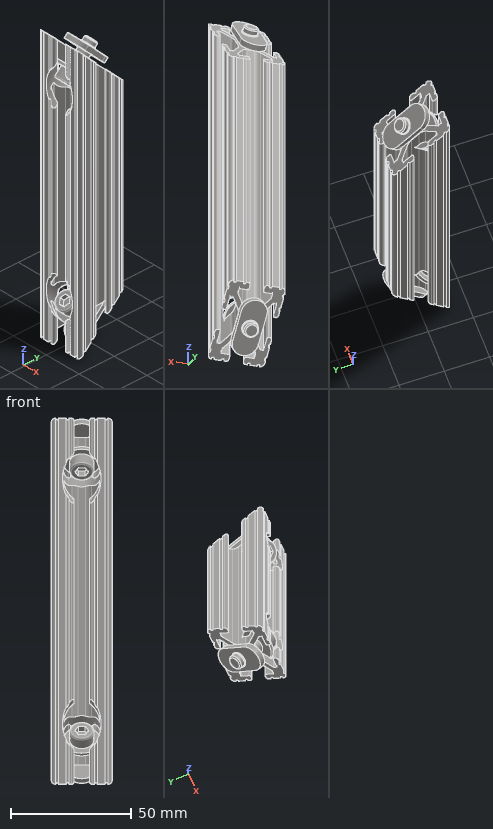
import cadquery as cq
import math

length = 152.4
width = 25.5
half_width = width / 2
corner_radius = 1.8
mouth_half = 3.2
lip_thickness = 2.3
lip_outer_radius = 1.0
lip_inner_radius = 0.6
chamber_half = 7.5
chamber_radius = 0.6
core_half = 4.5
core_fillet = 3.4
web_offset = 1.5
groove_radius = 0.6
groove_places = (5.87, 10.2)

screw_diameter = 6.4
screw_length = 16.0
tip_chamfer = 0.6
head_diameter = 10.0
head_height = 5.6
head_fillet = 0.6
socket_flats = 4.9
socket_depth = 3.0
washer_diameter = 15.5
washer_thickness = 1.5
pocket_diameter = 16.0
pocket_depth = 6.5
plate_length = 25.1
plate_width = 11.5
plate_thickness = 2.7
plate_gap = 2.1
collar_diameter = 7.0
collar_height = 0.5

head_seat = pocket_depth + washer_thickness
clear_of_part = 2 * width

mitre_middle = length / 2 - half_width
fastener_plane = cq.Plane(origin=(0, 0, mitre_middle), xDir=(1, 0, 0), normal=(0, 1, 1))


def at_height(height):
    """Workplane square to the fastener axis; positive heights lie outside the mitred face."""
    return cq.Workplane(fastener_plane).workplane(offset=height)


def rounded_corner(start, corner, end):
    """Middle point of a bulging arc from start to end that rounds off a corner."""
    inset = 1 - math.sqrt(0.5)
    return tuple(c + inset * (s + e - 2 * c) for s, c, e in zip(start, corner, end))


def make_mitred_envelope():
    """Block with both ends mitred at 45 degrees, full length on the -Y side."""
    short_half = length / 2 - width
    return (
        cq.Workplane("YZ")
        .polyline([
            (-half_width, -length / 2),
            (-half_width, length / 2),
            (half_width, short_half),
            (half_width, -short_half),
        ])
        .close()
        .extrude(half_width, both=True)
    )


def vertical_edge_at(x, y):
    """Selector for the edge along Z that passes through (x, y)."""
    return cq.selectors.NearestToPointSelector((x, y, 0))


def make_slot():
    """T-slot that opens on the +Y face, as a prism over the full length."""
    lip_bottom = half_width - lip_thickness
    outer_start = (mouth_half + lip_outer_radius, half_width)
    outer_end = (mouth_half, half_width - lip_outer_radius)
    inner_start = (mouth_half, lip_bottom + lip_inner_radius)
    inner_end = (mouth_half + lip_inner_radius, lip_bottom)
    web_start = core_half - web_offset
    web_end = chamber_half + web_offset
    slot = (
        cq.Workplane("XY")
        .workplane(offset=-length / 2)
        .moveTo(0, half_width)
        .lineTo(*outer_start)
        .threePointArc(rounded_corner(outer_start, (mouth_half, half_width), outer_end), outer_end)
        .lineTo(*inner_start)
        .threePointArc(rounded_corner(inner_start, (mouth_half, lip_bottom), inner_end), inner_end)
        .lineTo(chamber_half, lip_bottom)
        .lineTo(chamber_half, web_end)
        .lineTo(web_start, core_half)
        .lineTo(0, core_half)
        .mirrorY()
        .extrude(length)
    )
    for side in (-1, 1):
        slot = slot.edges(vertical_edge_at(side * web_start, core_half)).fillet(core_fillet)
        slot = slot.edges(vertical_edge_at(side * chamber_half, web_end)).fillet(chamber_radius)
    return slot


def make_face_grooves():
    """Fine grooves along the +Y face."""
    places = [(side * place, half_width) for place in groove_places for side in (-1, 1)]
    return (
        cq.Workplane("XY")
        .workplane(offset=-length / 2)
        .pushPoints(places)
        .circle(groove_radius)
        .extrude(length)
    )


def make_fastener_bore():
    """Washer pocket with the screw's hole, for the upper end."""
    pocket = at_height(-pocket_depth).circle(pocket_diameter / 2).extrude(-clear_of_part)
    hole = at_height(-pocket_depth).circle(screw_diameter / 2).extrude(clear_of_part)
    return pocket.union(hole)


def make_profile():
    bar = (
        cq.Workplane("XY")
        .rect(width, width)
        .extrude(length / 2, both=True)
        .edges("|Z")
        .fillet(corner_radius)
    )
    slot = make_slot()
    grooves = make_face_grooves()
    for angle in (0, 90, 180, 270):
        bar = bar.cut(slot.rotate((0, 0, 0), (0, 0, 1), angle))
        bar = bar.cut(grooves.rotate((0, 0, 0), (0, 0, 1), angle))
    bore = make_fastener_bore()
    return bar.intersect(make_mitred_envelope()).cut(bore).cut(bore.mirror("XY"))


def make_screw():
    """Socket head cap screw, its head inside the profile and its tip beyond the plate."""
    shank = (
        at_height(-head_seat)
        .circle(screw_diameter / 2)
        .extrude(screw_length)
        .faces(cq.selectors.DirectionMinMaxSelector(fastener_plane.zDir, True))
        .chamfer(tip_chamfer)
    )
    head = (
        at_height(-head_seat)
        .circle(head_diameter / 2)
        .extrude(-head_height)
        .faces(cq.selectors.DirectionMinMaxSelector(fastener_plane.zDir, False))
        .edges()
        .fillet(head_fillet)
    )
    socket_corners = socket_flats / math.cos(math.pi / 6)
    socket = at_height(-head_seat - head_height).polygon(6, socket_corners).extrude(socket_depth)
    return head.cut(socket).union(shank)


def make_washer():
    return (
        at_height(-head_seat)
        .circle(washer_diameter / 2)
        .circle(screw_diameter / 2)
        .extrude(washer_thickness)
    )


def make_plate():
    """Round-ended plate with a raised collar round the screw's hole."""
    plate = at_height(plate_gap).slot2D(plate_length, plate_width, 90).extrude(plate_thickness)
    collar = at_height(plate_gap + plate_thickness).circle(collar_diameter / 2).extrude(collar_height)
    hole = at_height(0).circle(screw_diameter / 2).extrude(clear_of_part)
    return plate.union(collar).cut(hole)


def make_pair(make_body):
    """The solids of one kind of body at the upper end and, mirrored, at the lower end."""
    upper = make_body()
    return [end.solids().val() for end in (upper, upper.mirror("XY"))]


profile = make_profile().solids().val()
screws = make_pair(make_screw)
washers = make_pair(make_washer)
plates = make_pair(make_plate)

result = cq.Compound.makeCompound([profile, *screws, *washers, *plates])